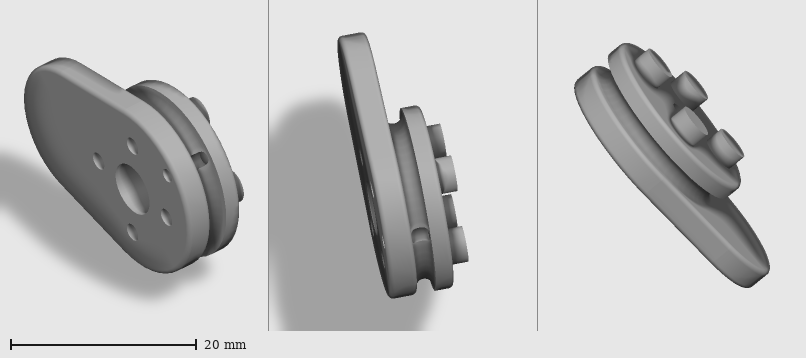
import cadquery as cq
import math

length = 29.5
pulley_radius = 10.0
tail_radius = 8.0
plate_thickness = 3.0
tail_center_x = -(length - pulley_radius - tail_radius)
edge_radius = 0.5

groove_width = 2.0
groove_floor_radius = pulley_radius - edge_radius - groove_width / 2
flange_thickness = 2.0

total_depth = 9.0
post_diameter = 3.9
post_hole_diameter = 2.0
post_offset = 6.0

bore_diameter = 2.9
counterbore_diameter = 6.0
cord_hole_diameter = 1.6
cord_hole_x = 6.15
cord_hole_z = 5.9

flange_front_y = plate_thickness + groove_width
flange_back_y = flange_front_y + flange_thickness

blind_hole_depth = flange_front_y

overlap = 0.3


def cylinder(x, z, diameter, start_y, end_y):
    """Cylinder parallel to Y between two Y positions."""
    return cq.Workplane(
        cq.Solid.makeCylinder(diameter / 2, end_y - start_y, cq.Vector(x, start_y, z), cq.Vector(0, 1, 0))
    )


def make_plate():
    """Two arcs joined by their common tangents, rounded on both faces."""
    tangent_angle = math.asin((pulley_radius - tail_radius) / -tail_center_x)
    sine = math.sin(tangent_angle)
    cosine = math.cos(tangent_angle)
    pulley_x = -pulley_radius * sine
    pulley_z = pulley_radius * cosine
    tail_x = tail_center_x - tail_radius * sine
    tail_z = tail_radius * cosine
    return (
        cq.Workplane("XZ")
        .moveTo(tail_x, tail_z)
        .lineTo(pulley_x, pulley_z)
        .threePointArc((pulley_radius, 0), (pulley_x, -pulley_z))
        .lineTo(tail_x, -tail_z)
        .threePointArc((tail_center_x - tail_radius, 0), (tail_x, tail_z))
        .close()
        .extrude(-plate_thickness)
        .faces("<Y or >Y")
        .edges()
        .fillet(edge_radius)
    )


def make_pulley():
    """Revolved hub with a half-round groove and a flange rounded on its back edge."""
    hub_start_y = plate_thickness - overlap
    groove_middle_y = plate_thickness + groove_width / 2
    groove_side_radius = groove_floor_radius + groove_width / 2
    return (
        cq.Workplane("XY")
        .moveTo(0, hub_start_y)
        .lineTo(groove_side_radius, hub_start_y)
        .lineTo(groove_side_radius, plate_thickness)
        .threePointArc((groove_floor_radius, groove_middle_y), (groove_side_radius, flange_front_y))
        .lineTo(pulley_radius, flange_front_y)
        .lineTo(pulley_radius, flange_back_y)
        .lineTo(0, flange_back_y)
        .close()
        .revolve(360, (0, 0, 0), (0, 1, 0))
        .faces(">Y")
        .edges()
        .fillet(edge_radius)
    )


body = make_plate().union(make_pulley())

post_centers = [(post_offset, 0), (-post_offset, 0), (0, post_offset), (0, -post_offset)]
for x, z in post_centers:
    body = body.union(cylinder(x, z, post_diameter, flange_back_y - overlap, total_depth))
    body = body.cut(cylinder(x, z, post_hole_diameter, 0, blind_hole_depth))

body = body.cut(cylinder(0, 0, bore_diameter, 0, total_depth))
body = body.cut(cylinder(0, 0, counterbore_diameter, 0, blind_hole_depth))
body = body.cut(cylinder(cord_hole_x, cord_hole_z, cord_hole_diameter, 0, blind_hole_depth))

result = body